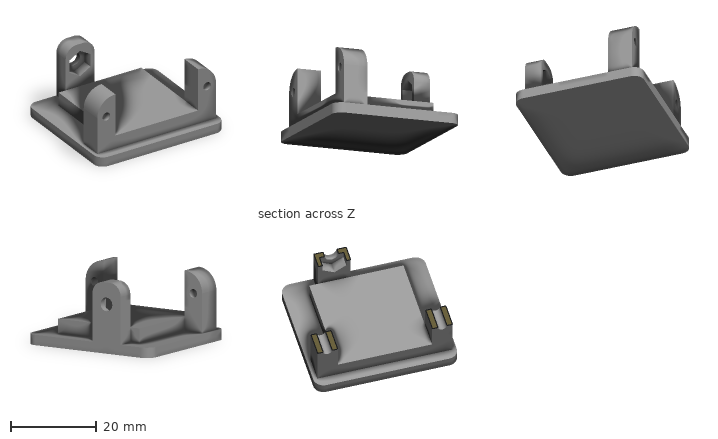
import cadquery as cq
import math

base_x = 32.0
base_y = 35.0
base_z = 2.5
corner_radius = 2.5

pad_x = 25.0
pad_y = 23.0
pad_z = 3.5
pad_offset = 4.5

total_height = 17.0
hole_height = 11.75

ear_x = 6.0
ear_y = 5.0
ear_hole_diameter = 2.1

tab_x = 4.1
tab_y = 7.98
tab_radius = 3.0
tab_center_y = -5.25
tab_hole_diameter = 3.3
nut_flats = 5.8
nut_wall = 1.5

left = -base_x / 2
pad_left = left + pad_offset
pad_right = pad_left + pad_x
ear_left = pad_right - ear_x


def make_base():
    plate = cq.Workplane("XY").box(base_x, base_y, base_z, centered=(True, True, False))
    return plate.edges("|Z").fillet(corner_radius)


def make_pad():
    pad = cq.Workplane("XY").box(pad_x, pad_y, base_z + pad_z, centered=(False, True, False))
    return pad.translate((pad_left, 0, 0))


def hole_cutter(x_start, length, y, diameter):
    plane = cq.Workplane("YZ", origin=(x_start, 0, 0))
    return plane.center(y, hole_height).circle(diameter / 2).extrude(length)


def make_ear(side):
    """Ear with a quarter-round outer shoulder; side is +1 or -1 along Y."""
    inner = pad_y / 2
    outer = inner + ear_y
    middle = inner + ear_y / 2
    shoulder = total_height - ear_y
    arc_y = inner + ear_y * math.sqrt(0.5)
    arc_z = shoulder + ear_y * math.sqrt(0.5)
    ear = (
        cq.Workplane("YZ", origin=(ear_left, 0, 0))
        .moveTo(side * inner, 0)
        .lineTo(side * outer, 0)
        .lineTo(side * outer, shoulder)
        .threePointArc((side * arc_y, arc_z), (side * inner, total_height))
        .close()
        .extrude(ear_x)
    )
    return ear.cut(hole_cutter(ear_left, ear_x, side * middle, ear_hole_diameter))


def nut_cutter():
    """Hexagonal pocket opening on the inner face of the tab, corners up and down."""
    corner_diameter = nut_flats / math.cos(math.pi / 6)
    plane = cq.Workplane("YZ", origin=(left + nut_wall, tab_center_y, hole_height))
    hexagon = plane.transformed(rotate=(0, 0, 90)).polygon(6, corner_diameter)
    return hexagon.extrude(tab_x - nut_wall)


def make_tab():
    tab = cq.Workplane("XY").box(tab_x, tab_y, total_height, centered=(False, True, False))
    tab = tab.faces(">Z").edges("|X").fillet(tab_radius)
    tab = tab.translate((left, tab_center_y, 0))
    tab = tab.cut(hole_cutter(left, tab_x, tab_center_y, tab_hole_diameter))
    return tab.cut(nut_cutter())


result = make_base().union(make_pad()).union(make_tab())
for ear_side in (-1, 1):
    result = result.union(make_ear(ear_side))